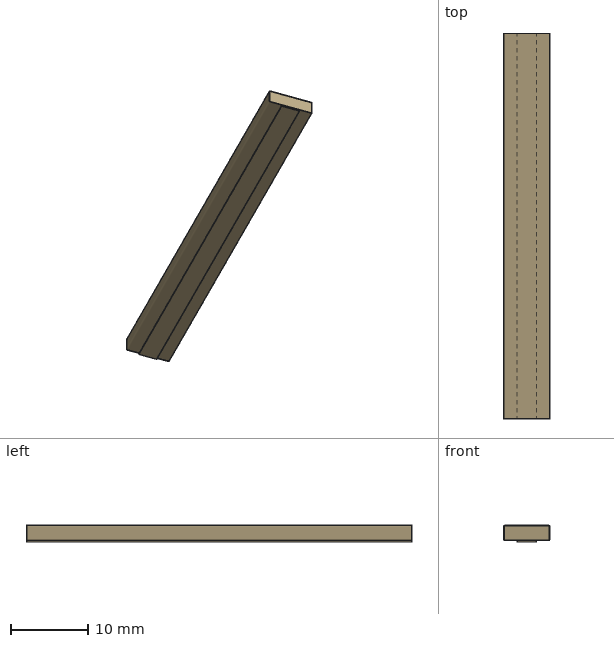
import cadquery as cq

WIDTH = 6.0
LENGTH = 50.0
HEIGHT = 2.2

RAIL_WIDTH = 2.5
RAIL_DEPTH = 0.2

EDGE_RADIUS = 0.2

SLEEVE_WALL = 0.1
END_SETBACK = 0.005

BODY_HEIGHT = HEIGHT - RAIL_DEPTH
INNER_LENGTH = LENGTH - 2 * END_SETBACK


def rounded_bar(width, length, height, radius):
    """Bar centred on the origin, with its four long edges rounded."""
    return cq.Workplane("XY").box(width, length, height).edges("|Y").fillet(radius)


def inner_bar(length):
    """Bar of the given length that fills the inside of the sleeve."""
    return rounded_bar(
        WIDTH - 2 * SLEEVE_WALL,
        length,
        BODY_HEIGHT - 2 * SLEEVE_WALL,
        EDGE_RADIUS - SLEEVE_WALL,
    )


def sleeve():
    """Thin rounded tube, open at both ends."""
    return rounded_bar(WIDTH, LENGTH, BODY_HEIGHT, EDGE_RADIUS).cut(inner_bar(LENGTH))


def rail():
    """Shallow rail on the middle of the underside."""
    center_z = -(BODY_HEIGHT + RAIL_DEPTH) / 2
    return cq.Workplane("XY").box(RAIL_WIDTH, INNER_LENGTH, RAIL_DEPTH).translate((0, 0, center_z))


result = sleeve().union(inner_bar(INNER_LENGTH)).union(rail())